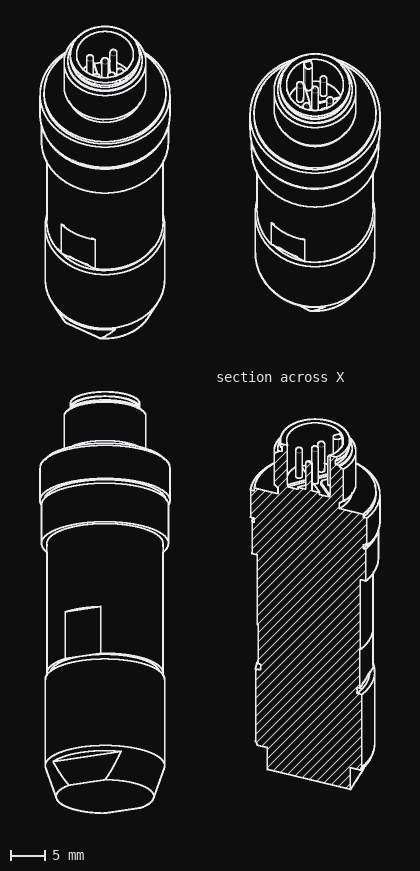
import cadquery as cq
import math

TOTAL_HEIGHT = 61.1

CABLE_END_RADIUS = 7.15
CAP_RADIUS = 8.75
CAP_CONE_TOP = 4.75
CAP_TOP = 18.2
GROOVE_RADIUS = 8.0
GROOVE_TOP = 19.2
BODY_RADIUS = 8.5
BODY_TOP = 39.35
RING_RADIUS = 9.3
RING_TOP = 45.35
FLANGE_RADIUS = 19.0 / 2
FLANGE_STEP_RADIUS = 8.9
FLANGE_BOTTOM = 46.0
FLANGE_TOP = 51.15
FLANGE_STEP_TOP = 51.7
COLLAR_RADIUS = 6.0
COLLAR_NECK_RADIUS = 5.45
COLLAR_NECK_TOP = 52.7
COLLAR_BOTTOM = 53.2
COLLAR_TOP = 59.15
COLLAR_CHAMFER_TOP = 59.5
COLLAR_LIP_TOP = 59.7
RIM_RADIUS = 5.1
RIM_NECK_RADIUS = 4.9
RIM_BOTTOM = 60.45

CABLE_FLAT_OFFSET = 6.55
CABLE_FLAT_TOP = 4.05
WRENCH_FLAT_OFFSET = GROOVE_RADIUS
WRENCH_FLAT_TOP = 26.45

SOCKET_RADIUS = 4.15
SOCKET_FLOOR = 53.8
CHANNEL_WIDTH = 1.1
CHANNEL_HUB_RADIUS = 1.05
CHANNEL_DEPTH = 0.35
INSERT_ROOT = SOCKET_FLOOR - 2 * CHANNEL_DEPTH
PIN_RADIUS = 0.5
PIN_TIP_FILLET = 0.46
OUTER_PIN_COUNT = 4
PIN_CIRCLE_RADIUS = 2.5
PIN_TOP = 59.0
CENTRE_PIN_TOP = 59.95
KEY_RADIUS = 0.55
KEY_CIRCLE_RADIUS = 3.5
KEY_TOP = 60.65
KEY_ANGLE = -45


def outer_body():
    profile = [
        (0, 0),
        (CABLE_END_RADIUS, 0),
        (CAP_RADIUS, CAP_CONE_TOP),
        (CAP_RADIUS, CAP_TOP),
        (GROOVE_RADIUS, CAP_TOP),
        (GROOVE_RADIUS, GROOVE_TOP),
        (BODY_RADIUS, GROOVE_TOP),
        (BODY_RADIUS, BODY_TOP),
        (RING_RADIUS, BODY_TOP),
        (RING_RADIUS, RING_TOP),
        (FLANGE_STEP_RADIUS, RING_TOP),
        (FLANGE_STEP_RADIUS, FLANGE_BOTTOM),
        (FLANGE_RADIUS, FLANGE_BOTTOM),
        (FLANGE_RADIUS, FLANGE_TOP),
        (FLANGE_STEP_RADIUS, FLANGE_TOP),
        (FLANGE_STEP_RADIUS, FLANGE_STEP_TOP),
        (COLLAR_NECK_RADIUS, FLANGE_STEP_TOP),
        (COLLAR_NECK_RADIUS, COLLAR_NECK_TOP),
        (COLLAR_RADIUS, COLLAR_BOTTOM),
        (COLLAR_RADIUS, COLLAR_TOP),
        (COLLAR_NECK_RADIUS, COLLAR_CHAMFER_TOP),
        (COLLAR_NECK_RADIUS, COLLAR_LIP_TOP),
        (RIM_NECK_RADIUS, COLLAR_LIP_TOP),
        (RIM_NECK_RADIUS, RIM_BOTTOM),
        (RIM_RADIUS, RIM_BOTTOM),
        (RIM_RADIUS, TOTAL_HEIGHT),
        (0, TOTAL_HEIGHT),
    ]
    return cq.Workplane("XZ").polyline(profile).close().revolve(360, (0, 0), (0, 1))


def cut_flat_pair(body, offset, bottom, top):
    """Cut a flat on both Y sides, at the given distance from the axis."""
    width = 2 * FLANGE_RADIUS
    for side in (-1, 1):
        cutter = cq.Workplane("XY").box(width, width, top - bottom, centered=(True, True, False))
        body = body.cut(cutter.translate((0, side * (offset + width / 2), bottom)))
    return body


def cylinder(radius, bottom, top, x=0.0, y=0.0):
    return cq.Workplane("XY", origin=(x, y, bottom)).circle(radius).extrude(top - bottom)


def channel_cross():
    """Diagonal cross with a round hub, sunk into the socket floor."""
    bottom = SOCKET_FLOOR - CHANNEL_DEPTH
    cross = cylinder(CHANNEL_HUB_RADIUS, bottom, SOCKET_FLOOR)
    for angle in (45, 135):
        arm = cq.Workplane("XY").box(
            2 * SOCKET_RADIUS, CHANNEL_WIDTH, CHANNEL_DEPTH, centered=(True, True, False)
        )
        cross = cross.union(arm.rotate((0, 0, 0), (0, 0, 1), angle).translate((0, 0, bottom)))
    return cross.intersect(cylinder(SOCKET_RADIUS, bottom, SOCKET_FLOOR))


def pin(x, y, top):
    """Contact pin with a domed tip, rooted below the socket floor."""
    return cylinder(PIN_RADIUS, INSERT_ROOT, top, x, y).faces(">Z").edges().fillet(PIN_TIP_FILLET)


def key():
    """Coding rib along the socket wall, with a round nose facing the axis."""
    reach = (SOCKET_RADIUS + RIM_NECK_RADIUS) / 2 - KEY_CIRCLE_RADIUS
    rib = cylinder(KEY_RADIUS, INSERT_ROOT, KEY_TOP, KEY_CIRCLE_RADIUS)
    web = cq.Workplane("XY").box(reach, 2 * KEY_RADIUS, KEY_TOP - INSERT_ROOT, centered=(False, True, False))
    rib = rib.union(web.translate((KEY_CIRCLE_RADIUS, 0, INSERT_ROOT)))
    return rib.rotate((0, 0, 0), (0, 0, 1), KEY_ANGLE)


result = outer_body()
result = cut_flat_pair(result, CABLE_FLAT_OFFSET, 0, CABLE_FLAT_TOP)
result = cut_flat_pair(result, WRENCH_FLAT_OFFSET, GROOVE_TOP, WRENCH_FLAT_TOP)
result = result.cut(cylinder(SOCKET_RADIUS, SOCKET_FLOOR, TOTAL_HEIGHT))
result = result.cut(channel_cross())
result = result.union(pin(0, 0, CENTRE_PIN_TOP))
for index in range(OUTER_PIN_COUNT):
    direction = 2 * math.pi * index / OUTER_PIN_COUNT
    pin_x = PIN_CIRCLE_RADIUS * math.cos(direction)
    pin_y = PIN_CIRCLE_RADIUS * math.sin(direction)
    result = result.union(pin(pin_x, pin_y, PIN_TOP))
result = result.union(key())